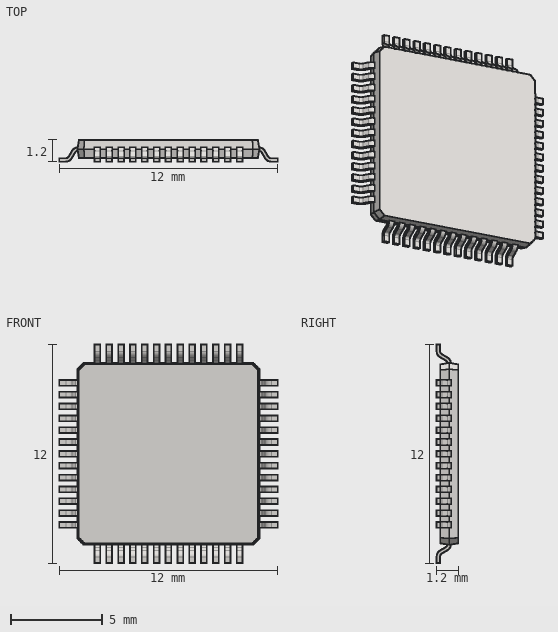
import cadquery as cq
import math


BODY_WIDTH = 10.0
BODY_THICKNESS = 1.0
CORNER_CHAMFER = 0.36
DRAFT_ANGLE = 10.0

SPAN = 12.0
LEADS_PER_SIDE = 13
SIDES = 4
LEAD_PITCH = 0.65
LEAD_WIDTH = 0.33
LEAD_THICKNESS = 0.2
FOOT_LENGTH = 0.36
INNER_BEND_RADIUS = 0.2
BEND_ANGLE = math.radians(60)
LEAD_ROOT = 0.3

OUTER_BEND_RADIUS = INNER_BEND_RADIUS + LEAD_THICKNESS
FOOT_TOP = -BODY_THICKNESS / 2
FOOT_BOTTOM = FOOT_TOP - LEAD_THICKNESS
SHOULDER_TOP = LEAD_THICKNESS / 2
SHOULDER_BOTTOM = -LEAD_THICKNESS / 2

BEND_RADII_SUM = INNER_BEND_RADIUS + OUTER_BEND_RADIUS
LEAD_DROP = SHOULDER_TOP - FOOT_TOP
SLOPE_DROP = LEAD_DROP - BEND_RADII_SUM * (1 - math.cos(BEND_ANGLE))
S_BEND_LENGTH = BEND_RADII_SUM * math.sin(BEND_ANGLE) + SLOPE_DROP / math.tan(BEND_ANGLE)

TIP_X = SPAN / 2
FOOT_HEEL_X = TIP_X - FOOT_LENGTH
SHOULDER_X = FOOT_HEEL_X - S_BEND_LENGTH
ROOT_X = BODY_WIDTH / 2 - LEAD_ROOT


def make_body():
    """Square body with chamfered corners, tapering from the parting plane to both faces."""
    half_width = BODY_WIDTH / 2
    flat_end = half_width - CORNER_CHAMFER
    corners = [
        (half_width, flat_end),
        (flat_end, half_width),
        (-flat_end, half_width),
        (-half_width, flat_end),
        (-half_width, -flat_end),
        (-flat_end, -half_width),
        (flat_end, -half_width),
        (half_width, -flat_end),
    ]
    plan = cq.Workplane("XZ").polyline(corners).close()
    lower_half = plan.extrude(BODY_THICKNESS / 2, taper=DRAFT_ANGLE)
    return lower_half.union(lower_half.mirror("XZ"))


def shoulder_point(radius, angle):
    """Point on the shoulder bend, whose centre lies below the lead; angle is from +Y."""
    centre_y = SHOULDER_BOTTOM - INNER_BEND_RADIUS
    return (SHOULDER_X + radius * math.sin(angle), centre_y + radius * math.cos(angle))


def foot_point(radius, angle):
    """Point on the foot bend, whose centre lies above the lead; angle is from -Y."""
    centre_y = FOOT_TOP + INNER_BEND_RADIUS
    return (FOOT_HEEL_X - radius * math.sin(angle), centre_y - radius * math.cos(angle))


def make_lead():
    """One gull-wing lead pointing along +X, centred on Z = 0."""
    half_bend = BEND_ANGLE / 2
    profile = (
        cq.Workplane("XY")
        .moveTo(ROOT_X, SHOULDER_TOP)
        .lineTo(SHOULDER_X, SHOULDER_TOP)
        .threePointArc(
            shoulder_point(OUTER_BEND_RADIUS, half_bend),
            shoulder_point(OUTER_BEND_RADIUS, BEND_ANGLE),
        )
        .lineTo(*foot_point(INNER_BEND_RADIUS, BEND_ANGLE))
        .threePointArc(foot_point(INNER_BEND_RADIUS, half_bend), (FOOT_HEEL_X, FOOT_TOP))
        .lineTo(TIP_X, FOOT_TOP)
        .lineTo(TIP_X, FOOT_BOTTOM)
        .lineTo(FOOT_HEEL_X, FOOT_BOTTOM)
        .threePointArc(
            foot_point(OUTER_BEND_RADIUS, half_bend),
            foot_point(OUTER_BEND_RADIUS, BEND_ANGLE),
        )
        .lineTo(*shoulder_point(INNER_BEND_RADIUS, BEND_ANGLE))
        .threePointArc(
            shoulder_point(INNER_BEND_RADIUS, half_bend),
            (SHOULDER_X, SHOULDER_BOTTOM),
        )
        .lineTo(ROOT_X, SHOULDER_BOTTOM)
        .close()
    )
    return profile.extrude(LEAD_WIDTH / 2, both=True)


def make_leads():
    """All leads: an evenly pitched row on each of the four sides."""
    lead = make_lead().val()
    first_z = -LEAD_PITCH * (LEADS_PER_SIDE - 1) / 2
    leads = []
    for side in range(SIDES):
        turn = side * 360 / SIDES
        for index in range(LEADS_PER_SIDE):
            placed = lead.translate(cq.Vector(0, 0, first_z + index * LEAD_PITCH))
            leads.append(placed.rotate(cq.Vector(0, 0, 0), cq.Vector(0, 1, 0), turn))
    return leads


body = make_body()
result = cq.Workplane("XY").newObject([body.val().fuse(*make_leads())])